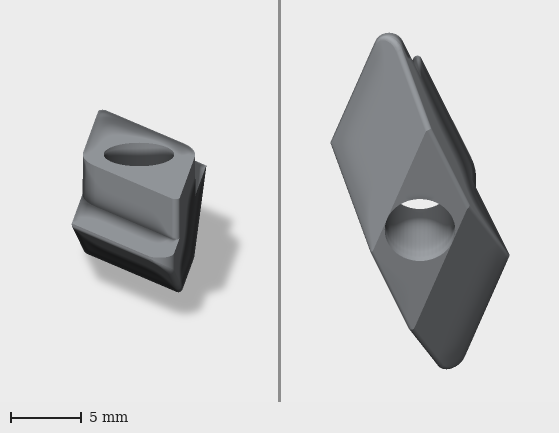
import cadquery as cq
import math

overall_length = 23.47
overall_width = 15.11
base_height = 4.7
stem_height = 3.0

tip_radius = 1.03
lip_height = 0.3
bottom_width = 5.0
edge_radius = 0.3

stem_foot_width = 8.03
stem_top_width = 7.9
stem_tip_radius = 0.3
trim_allowance = 0.0005
hole_diameter = 5.0

root2 = math.sqrt(2)
half_width = overall_width / 2
end_reach = overall_length / 2 - half_width + root2 * tip_radius
stem_reach = end_reach + trim_allowance


def make_prism(height):
    """Sharp-cornered parallelogram standing on, or hanging from, the Z = 0 plane."""
    outline = [
        (end_reach - half_width, half_width),
        (-end_reach - half_width, half_width),
        (half_width - end_reach, -half_width),
        (half_width + end_reach, -half_width),
    ]
    return cq.Workplane("XY").polyline(outline).close().extrude(height)


def is_rounded_edge(edge):
    """True for the lower edges around the ends and beneath the lips."""
    box = edge.BoundingBox()
    tolerance = 0.002
    on_top = box.zmin > -tolerance
    upright = box.xlen < tolerance and box.ylen < tolerance
    along_bottom = box.zmax < tolerance - base_height and box.ylen < tolerance
    return not (on_top or upright or along_bottom)


def make_base():
    section = [
        (-half_width, 0),
        (-half_width, -lip_height),
        (-bottom_width / 2, -base_height),
        (bottom_width / 2, -base_height),
        (half_width, -lip_height),
        (half_width, 0),
    ]
    bar = cq.Workplane("YZ").polyline(section).close().extrude(overall_length, both=True)
    prism = make_prism(-base_height)
    prism = prism.edges("|Z").edges("<X or >X").fillet(tip_radius)
    body = prism.intersect(bar)
    rounded = [edge for edge in body.edges().vals() if is_rounded_edge(edge)]
    return body.newObject(rounded).fillet(edge_radius)


def arc_point(center, radius, degrees):
    """Point on a circle at an angle from the X axis."""
    angle = math.radians(degrees)
    return (center[0] + radius * math.cos(angle), center[1] + radius * math.sin(angle))


def opposite(point):
    """The point turned half a turn about the Z axis."""
    return (-point[0], -point[1])


def stem_outline(plane, half_y):
    """Parallelogram with wide rounded corners of radius half_y and small rounded tips."""
    corner = (stem_reach - root2 * half_y, 0)
    tip_y = stem_tip_radius - half_y
    tip = (stem_reach - root2 * stem_tip_radius - tip_y, tip_y)
    corner_points = [arc_point(corner, half_y, angle) for angle in (90, 67.5, 45)]
    tip_points = [arc_point(tip, stem_tip_radius, angle) for angle in (45, -22.5, -90)]
    half_outline = corner_points + tip_points
    other_half = [opposite(point) for point in half_outline]
    outline = plane.moveTo(*half_outline[0])
    for points, next_start in ((half_outline, other_half[0]), (other_half, None)):
        outline = outline.threePointArc(points[1], points[2])
        outline = outline.lineTo(*points[3])
        outline = outline.threePointArc(points[4], points[5])
        if next_start:
            outline = outline.lineTo(*next_start)
    return outline.close()


def make_stem():
    foot = stem_outline(cq.Workplane("XY"), stem_foot_width / 2)
    top = stem_outline(foot.workplane(offset=stem_height), stem_top_width / 2)
    return top.loft(ruled=True).intersect(make_prism(stem_height))


hole = cq.Workplane("XY").workplane(offset=-base_height).circle(hole_diameter / 2)
hole = hole.extrude(base_height + stem_height)
result = make_base().union(make_stem()).cut(hole)